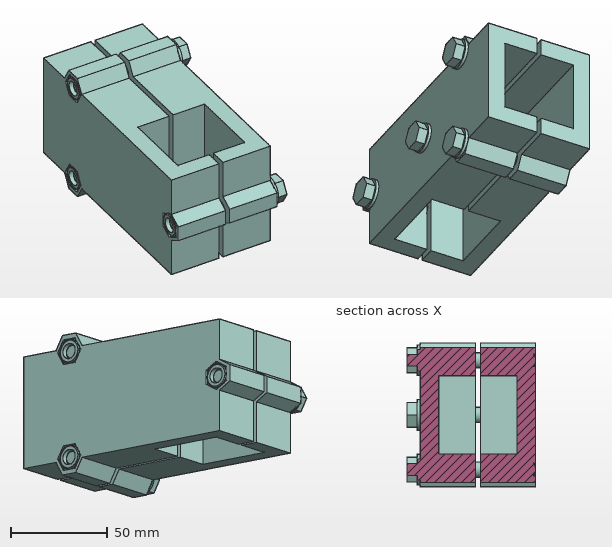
import cadquery as cq
import math


total_length = 136.0
body_depth = 60.0
body_height = 60.0
split_gap = 2.5

socket_size = 40.5
socket_wall = (body_depth - socket_size) / 2
core_thickness = 18.0

boss_across_flats = 15.1
boss_reach = 7.5

bolt_diameter = 8.0
bolt_end_chamfer = 0.7
bolt_end_recess = 2.2
hex_across_flats = 13.0
head_height = 5.3
washer_diameter = 16.0
washer_thickness = 1.6
nut_height = 6.5
collar_diameter = 12.6
collar_height = 1.1
collar_chamfer = 0.5

side_bolt_x = 29.9
bolt_inset = 1.5
end_boss_x = total_length - boss_across_flats / 2
end_bolt_x = end_boss_x - bolt_inset
side_boss_z = body_height / 2 + boss_reach - boss_across_flats / 2
side_bolt_z = side_boss_z - bolt_inset
body_length = 129.2
vertical_socket_x = body_length - socket_wall - socket_size / 2
horizontal_socket_length = vertical_socket_x - socket_size / 2 - core_thickness
core_bolt_x = horizontal_socket_length + core_thickness / 2

front_y = -body_depth / 2
back_y = body_depth / 2

bosses = [
    (side_bolt_x, side_boss_z, 0),
    (side_bolt_x, -side_boss_z, 0),
    (end_boss_x, 0, 90),
]
edge_bolts = [
    (side_bolt_x, side_bolt_z, 0),
    (side_bolt_x, -side_bolt_z, 0),
    (end_bolt_x, 0, 90),
]


def box_between(x_range, y_range, z_range):
    """Box spanning the given (low, high) ranges."""
    sizes = [high - low for low, high in (x_range, y_range, z_range)]
    corner = (x_range[0], y_range[0], z_range[0])
    return cq.Workplane("XY").box(*sizes, centered=False).translate(corner)


def rod(x, z, diameter, y_start, y_end):
    """Round bar parallel to Y."""
    plane = cq.Plane((x, y_start, z), xDir=(1, 0, 0), normal=(0, 1, 0))
    return cq.Workplane(plane).circle(diameter / 2).extrude(y_end - y_start)


def hex_bar(x, z, across_flats, y_start, y_end, turn=0):
    """Hexagonal bar parallel to Y."""
    across_corners = across_flats / math.cos(math.radians(30))
    plane = cq.Plane((x, y_start, z), xDir=(1, 0, 0), normal=(0, 1, 0))
    bar = cq.Workplane(plane).polygon(6, across_corners).extrude(y_end - y_start)
    return bar.rotate((x, 0, z), (x, 1, z), turn)


def clamp_body():
    """Block with hexagonal bosses, both tube sockets and the split."""
    half_height = body_height / 2
    half_socket = socket_size / 2
    socket_span = (-half_socket, half_socket)

    body = box_between((0, body_length), (front_y, back_y), (-half_height, half_height))
    for x, z, turn in bosses:
        body = body.union(hex_bar(x, z, boss_across_flats, front_y, back_y, turn))

    horizontal_socket = box_between((0, horizontal_socket_length), socket_span, socket_span)
    vertical_socket = box_between(
        (vertical_socket_x - half_socket, vertical_socket_x + half_socket),
        socket_span,
        (-half_height, half_height),
    )
    split = box_between(
        (0, total_length),
        (-split_gap / 2, split_gap / 2),
        (-half_height - boss_reach, half_height + boss_reach),
    )
    return body.cut(horizontal_socket).cut(vertical_socket).cut(split)


def bolt_with_washer(x, z):
    """Hexagon head bolt with its washer on the back face of the body."""
    head_y = back_y + washer_thickness
    tip_y = front_y + bolt_end_recess
    shank = rod(x, z, bolt_diameter, tip_y, head_y).faces("<Y").chamfer(bolt_end_chamfer)
    washer = rod(x, z, washer_diameter, back_y, head_y)
    head = hex_bar(x, z, hex_across_flats, head_y, head_y + head_height)
    return shank.union(washer).union(head)


def nut(x, z, turn):
    """Hexagon nut in its pocket, with a bevelled round collar flush with the front face."""
    hex_y = front_y + collar_height
    inner_y = front_y + nut_height
    prism = hex_bar(x, z, hex_across_flats, hex_y, inner_y, turn)
    collar = rod(x, z, collar_diameter, front_y, hex_y).faces("<Y").chamfer(collar_chamfer)
    bore = rod(x, z, bolt_diameter, front_y, inner_y)
    return prism.union(collar).cut(bore)


result = clamp_body()
for x, z, turn in edge_bolts:
    nut_pocket = hex_bar(x, z, hex_across_flats, front_y, front_y + nut_height, turn)
    result = result.cut(nut_pocket).union(nut(x, z, turn)).union(bolt_with_washer(x, z))

result = result.union(bolt_with_washer(core_bolt_x, 0))